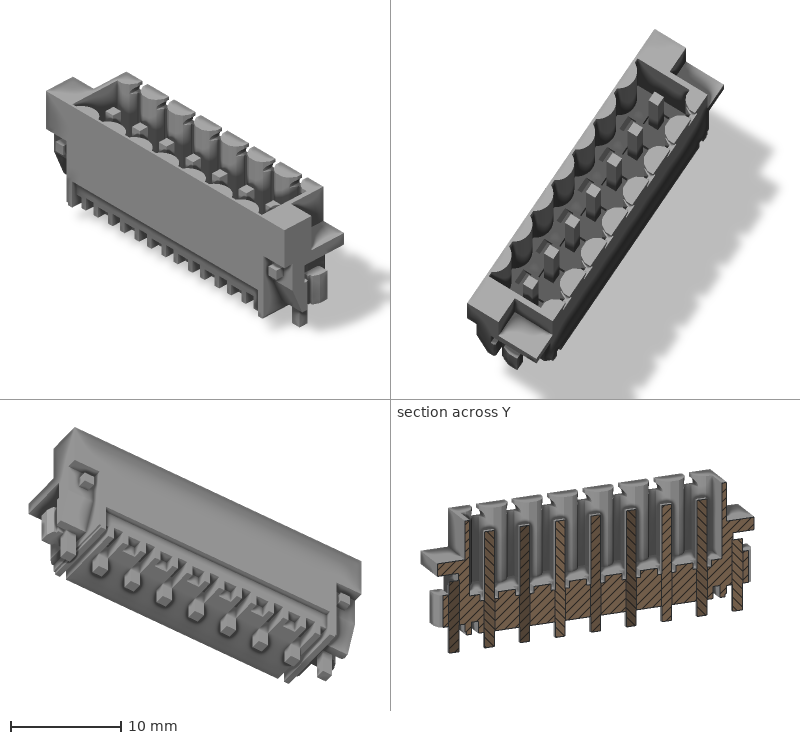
import cadquery as cq
import math

length = 31.35
depth = 7.45
height = 11.05
half_length = length / 2

contact_count = 7
contact_span = 21.0
pitch = contact_span / (contact_count - 1)
contact_y = 3.5
contact_xs = [(i - (contact_count - 1) / 2) * pitch for i in range(contact_count)]
midway_xs = [(i - (contact_count - 2) / 2) * pitch for i in range(contact_count - 1)]
tooth_xs = [(i - contact_count / 2) * pitch for i in range(contact_count + 1)]

pin_width = 1.0
pin_tail = 1.5
contact_top = 9.72
anchor_x = (contact_count + 1) / 2 * pitch
anchor_leg_top = 6.02
anchor_tip_y = 0.1
anchor_bend_radius = 1.47

shell_half = half_length - 2.73
wall = 0.5
cavity_half = shell_half - wall
cavity_front = 0.25
cavity_back = 5.85
floor_z = 3.75
underside_z = 1.15

front_key_half = 1.47
front_key_top = 1.13
slot_width = 0.7
tooth_half = (pitch - slot_width) / 2
tooth_side_y = 6.85
tooth_bevel_half = 1.05
tooth_bevel_y = 6.25
tooth_tip_half = 0.4
tooth_round_x = 0.72
tooth_round_y = 6.02
web_front = 7.0
web_top = 9.97
window_radius = 0.72
window_axis_rise = 0.05

well_x = 1.8
well_y = 1.72
well_depth = 0.63
pocket_width = 1.45
pocket_front = 1.13
pocket_back = 2.0
pocket_ramp = 0.38
pocket_depth = 0.38

panel_half = 12.23
panel_depth = 0.55
panel_top = 2.85
comb_half = 11.6
contact_notch_top = 1.35
gap_width = 1.32
gap_back = 1.5
foot_step_width = 0.15
foot_step_height = 0.28

post_back = 3.4
shelf_top = 7.3
shelf_bottom = 6.05
relief_depth = 1.05
relief_top = 6.9
slope_top = 3.95
slope_back = 2.23
wing_bottom = 1.07
arm_back = 2.55
cheek_thickness = 0.65
cheek_chamfer_x = 0.45
cheek_chamfer_y = 0.47
cheek_half = shell_half + cheek_thickness
lug_top = 4.17
lug_back = 5.4
lug_round = 0.3
lip_start = 4.45
lip_step_near = 0.28
lip_step_far = 0.55
lip_bend_y = 3.75
foot_top = 2.5
jaw_edge = 2.82
jaw_bevel = 0.13
support_radius = 0.4
support_center_z = 4.35


def box(x0, x1, y0, y1, z0, z1):
    return cq.Workplane("XY").box(x1 - x0, y1 - y0, z1 - z0, centered=False).translate((x0, y0, z0))


def centred_box(x, width, y0, y1, z0, z1):
    return box(x - width / 2, x + width / 2, y0, y1, z0, z1)


def contact_pin(x):
    half = pin_width / 2
    return centred_box(x, pin_width, contact_y - half, contact_y + half, -pin_tail, contact_top)


def anchor_pin(x):
    """Right-angle pin: a vertical tail that bends toward the front face."""
    outer = anchor_bend_radius
    inner = outer - pin_width
    tail_back = contact_y + pin_width / 2
    bend_y = tail_back - outer
    bend_z = anchor_leg_top - outer
    diagonal = math.sqrt(0.5)
    profile = (
        cq.Workplane("YZ")
        .moveTo(anchor_tip_y, anchor_leg_top)
        .lineTo(bend_y, anchor_leg_top)
        .threePointArc((bend_y + outer * diagonal, bend_z + outer * diagonal), (tail_back, bend_z))
        .lineTo(tail_back, -pin_tail)
        .lineTo(tail_back - pin_width, -pin_tail)
        .lineTo(tail_back - pin_width, bend_z)
        .threePointArc(
            (bend_y + inner * diagonal, bend_z + inner * diagonal),
            (bend_y, anchor_leg_top - pin_width),
        )
        .lineTo(anchor_tip_y, anchor_leg_top - pin_width)
        .close()
    )
    return profile.extrude(pin_width).translate((x - pin_width / 2, 0, 0))


def front_key(x):
    """Rounded rib on the front cavity wall."""
    return (
        cq.Workplane("XY", origin=(x, 0, floor_z))
        .moveTo(-front_key_half, 0)
        .lineTo(-front_key_half, cavity_front)
        .threePointArc((0, front_key_top), (front_key_half, cavity_front))
        .lineTo(front_key_half, 0)
        .close()
        .extrude(height - floor_z)
    )


def rear_tooth(x):
    """Tooth with a bevel and a round on each corner, standing in the rear wall, between two contact slots."""
    return (
        cq.Workplane("XY", origin=(x, 0, floor_z))
        .polyline([
            (-tooth_half, depth),
            (-tooth_half, tooth_side_y),
            (-tooth_bevel_half, tooth_bevel_y),
        ])
        .threePointArc((-tooth_round_x, tooth_round_y), (-tooth_tip_half, cavity_back))
        .lineTo(tooth_tip_half, cavity_back)
        .threePointArc((tooth_round_x, tooth_round_y), (tooth_bevel_half, tooth_bevel_y))
        .lineTo(tooth_half, tooth_side_y)
        .lineTo(tooth_half, depth)
        .close()
        .extrude(height - floor_z)
    )


def rear_window(x):
    """Round opening through the rear teeth, with a flat bottom level with the web between them."""
    half_chord = math.sqrt(window_radius**2 - window_axis_rise**2)
    return (
        cq.Workplane("XZ", origin=(x, depth, web_top))
        .moveTo(-half_chord, 0)
        .threePointArc((0, window_axis_rise + window_radius), (half_chord, 0))
        .close()
        .extrude(depth - contact_y)
    )


def floor_pocket(x):
    """Pocket in the cavity floor whose front side is a ramp."""
    bottom = floor_z - pocket_depth
    profile = (
        cq.Workplane("YZ")
        .polyline([
            (pocket_front, floor_z),
            (pocket_front + pocket_ramp, bottom),
            (pocket_back, bottom),
            (pocket_back, floor_z),
        ])
        .close()
    )
    return profile.extrude(pocket_width).translate((x - pocket_width / 2, 0, 0))


def shell():
    body = box(-shell_half, shell_half, 0, depth, 0, height)
    body = body.cut(box(-cavity_half, cavity_half, cavity_front, web_front, floor_z, height))
    body = body.cut(box(-cavity_half, cavity_half, web_front, depth, web_top, height))
    tooth_limit = box(-shell_half, shell_half, 0, depth, floor_z, height)
    for x in contact_xs:
        body = body.union(front_key(x))
    for x in tooth_xs:
        body = body.union(rear_tooth(x).intersect(tooth_limit))
    for x in contact_xs:
        body = body.cut(rear_window(x))
        body = body.cut(
            centred_box(x, well_x, contact_y - well_y / 2, contact_y + well_y / 2,
                        floor_z - well_depth, floor_z)
        )
    for x in midway_xs:
        body = body.cut(floor_pocket(x))
    return body


def cut_underside(body):
    """Recessed front panel, comb of notches, side channels and stepped feet."""
    body = body.cut(box(-panel_half, panel_half, 0, panel_depth, 0, panel_top))
    for x in contact_xs:
        body = body.cut(centred_box(x, pin_width, 0, contact_y, 0, contact_notch_top))
    for x in midway_xs:
        body = body.cut(centred_box(x, gap_width, 0, gap_back, 0, underside_z))
    for side in (-1, 1):
        channel_x = side * (panel_half + comb_half) / 2
        body = body.cut(centred_box(channel_x, panel_half - comb_half, 0, depth, 0, underside_z))
        step_x = side * (shell_half - foot_step_width / 2)
        body = body.cut(centred_box(step_x, foot_step_width, 0, depth, 0, foot_step_height))
    return body


def wing_arm():
    """Post, shelf and sloped arm sharing one side profile."""
    profile = (
        cq.Workplane("YZ", origin=(-half_length, 0, 0))
        .polyline([
            (0, height),
            (0, relief_top),
            (relief_depth, relief_top),
            (relief_depth, slope_top),
            (slope_back, wing_bottom),
            (arm_back, wing_bottom),
            (arm_back, shelf_bottom),
            (depth, shelf_bottom),
            (depth, shelf_top),
            (post_back, shelf_top),
            (post_back, height),
        ])
        .close()
    )
    return profile.extrude(half_length - shell_half)


def cheek():
    """Thickening of the shell end behind the arm, chamfered at the rear corner."""
    return (
        cq.Workplane("XY", origin=(0, 0, wing_bottom))
        .polyline([
            (-shell_half, arm_back),
            (-cheek_half, arm_back),
            (-cheek_half, depth - cheek_chamfer_y),
            (-cheek_half + cheek_chamfer_x, depth),
            (-shell_half, depth),
        ])
        .close()
        .extrude(shelf_bottom - wing_bottom)
    )


def lug():
    """Upright hook beside the arm whose lip reaches in front of the anchor pin's tail."""
    pin_face = -anchor_x - pin_width / 2
    hook = (
        cq.Workplane("XY", origin=(-half_length, 0, wing_bottom))
        .polyline([
            (0, lug_back),
            (0, lip_start),
            (lip_step_near, lip_bend_y),
            (lip_step_far, lip_bend_y),
            (lip_step_far, contact_y),
            (pin_face + half_length, contact_y),
            (pin_face + half_length, lug_back),
        ])
        .close()
        .extrude(lug_top - wing_bottom)
        .edges("|Z and >X and >Y")
        .fillet(lug_round)
    )
    tail_back = contact_y + pin_width / 2
    foot = box(pin_face, -cheek_half, tail_back, lug_back - lug_round, wing_bottom, foot_top)
    return hook.union(foot)


def mouth_jaw():
    """Extension of the arm that faces the lug across the mouth, with a bevelled edge."""
    throat = contact_y - pin_width / 2
    return (
        cq.Workplane("XY", origin=(-half_length, 0, wing_bottom))
        .polyline([
            (0, arm_back),
            (0, jaw_edge),
            (jaw_bevel, throat),
            (half_length - cheek_half, throat),
            (half_length - cheek_half, arm_back),
        ])
        .close()
        .extrude(lug_top - wing_bottom)
    )


def bend_support():
    """Rounded nose under the bend of the anchor pin."""
    nose = (
        cq.Workplane("YZ", origin=(-anchor_x - pin_width / 2, arm_back, support_center_z))
        .circle(support_radius)
        .extrude(anchor_x + pin_width / 2 - shell_half)
    )
    return nose.intersect(box(-half_length, -shell_half, arm_back, depth, lug_top, shelf_bottom))


def wing():
    return wing_arm().union(cheek()).union(lug()).union(mouth_jaw()).union(bend_support())


contact_pins = [contact_pin(x) for x in contact_xs]
anchor_pins = [anchor_pin(x) for x in (-anchor_x, anchor_x)]

left_wing = wing()
housing = cut_underside(shell())
housing = housing.union(left_wing).union(left_wing.mirror("YZ"))
for pin in contact_pins + anchor_pins:
    housing = housing.cut(pin)

result = cq.Compound.makeCompound(
    [housing.val()] + [pin.val() for pin in contact_pins + anchor_pins]
)